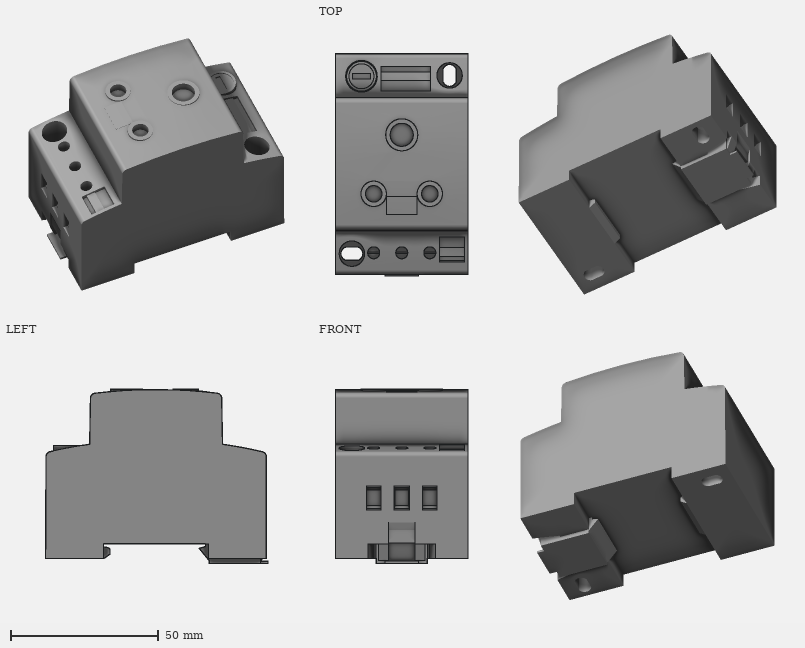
import cadquery as cq
import math


width = 45.0
front_y = -37.45
back_top_y = 37.4
back_foot_y = 37.5
shelf_crown_z = 40.45
shelf_radius = 158.5
shelf_round = 1.8
hump_crown_z = 57.4
hump_radius = 181.15
hump_round = 1.8
hump_foot_y = 22.6
hump_top_y = 22.3

rail_half = 17.8
rail_depth = 5.05

ring_top_z = 57.5
ring_bore_depth = 3
big_ring = (0, 10.0, 5.4, 3.9)
small_ring_x = 9.5
small_ring_y = -10.05
small_ring_radius = 4.3
small_bore_radius = 2.8
label_width = 10.4
label_y = (-17.05, -10.9)
label_height = 0.11

terminal_pitch = 9.5
screw_y = -30.05
screw_radius = 2.05
screw_z = 31.7
screw_slot_width = 0.6
screw_slot_depth = 0.75
window_z = (16.6, 24.6)
window_width = 4.8
middle_window_width = 5.2
middle_throat_end_width = 4.6
window_depth = 1.65
throat_end_depth = 3.3
throat_mouth_z = (17.0, 24.2)
throat_end_z = (18.05, 23.3)

bore_radius = 4.3
bore_floor_z = 7.55
long_hole_length = 7.4
long_hole_width = 4.45
long_hole_bulge = 1.6
front_hole = (-16.9, -30.35)
back_hole = (16.2, 30.1)

pocket_floor = [(24.75, 37.2), (28.3, 36.7), (28.3, 37.05), (31.3, 36.6), (31.3, 35.7), (32.6, 35.55)]
front_pocket_x = (12.8, 21.35)
front_pocket_end = 33.2
front_pocket_end_z = 35.2
back_pocket_x = (-7.1, 9.7)
back_pocket_end = 33.05

knob_x = -13.65
knob_y = 29.8
knob_radius = 5.05
knob_top_z = 38.4
knob_gap = 0.3
knob_gap_floor_z = 35.5
dish_radius = 4.2
dish_depth = 0.4
knob_slot_length = 6.2
knob_slot_width = 1.8
knob_slot_depth = 0.75

opening_half_front = 11.4
opening_half_back = 9.35
opening_back_y = -28.3
clip_half = 8.7
clip_bottom_z = -1.65
clip_front_y = -35.5
clip_top_inner_y = -16.75
clip_nose = [(clip_top_inner_y, 4.15), (-14.6, 3.55), (-18.0, -0.6)]
ramp_half = 7.9
ramp_slope = 0.27
ramp_top_y = -37.3
ramp_foot_z = -0.7
tab_half = 5.7
tab_top_z = -0.8
tab_end_y = -38.0
tool_slot_half = 4.45
tool_slot_top_z = 12.2
tool_slot_wall_z = (5.3, 9.6)
tool_ramp_top_y = -34.7
hook_profile = [(rail_half, 4.1), (16.2, 3.8), (15.6, 3.25), (15.6, 1.5), (rail_half, 0)]

overshoot = 3.8
embed = 0.75
pick_margin = 0.1


def crown_height(y, crown_z, radius):
    """Height of a crowned surface that peaks at y = 0."""
    return crown_z - radius + math.sqrt(radius ** 2 - y ** 2)


def shelf_z(y):
    return crown_height(y, shelf_crown_z, shelf_radius)


def hump_z(y):
    return crown_height(y, hump_crown_z, hump_radius)


def extrude_x(points, x_min, x_max):
    """Solid with the given (y, z) outline between two X positions."""
    return cq.Workplane("YZ").workplane(offset=x_min).polyline(points).close().extrude(x_max - x_min)


def box(x_range, y_range, z_range):
    sizes = [high - low for low, high in (x_range, y_range, z_range)]
    return cq.Workplane("XY").box(*sizes, centered=False).translate((x_range[0], y_range[0], z_range[0]))


def disc(x, y, radius, z_min, z_max):
    return cq.Workplane("XY").workplane(offset=z_min).center(x, y).circle(radius).extrude(z_max - z_min)


def round_edges(solid, corners, radius):
    """Round the edges along X that pass through the given (y, z) corners."""
    for y, z in corners:
        low = (-width, y - pick_margin, z - pick_margin)
        high = (width, y + pick_margin, z + pick_margin)
        selector = cq.selectors.BoxSelector(low, high)
        solid = solid.edges("|X").edges(selector).fillet(radius)
    return solid


def make_housing():
    shelf_mid_y = (hump_foot_y + back_top_y) / 2
    front_corner = (front_y, shelf_z(front_y))
    back_corner = (back_top_y, shelf_z(back_top_y))
    hump_front = (-hump_top_y, hump_z(hump_top_y))
    hump_back = (hump_top_y, hump_z(hump_top_y))
    profile = (
        cq.Workplane("YZ").workplane(offset=-width / 2)
        .moveTo(front_y, 0)
        .lineTo(*front_corner)
        .threePointArc((-shelf_mid_y, shelf_z(shelf_mid_y)), (-hump_foot_y, shelf_z(hump_foot_y)))
        .lineTo(*hump_front)
        .threePointArc((0, hump_crown_z), hump_back)
        .lineTo(hump_foot_y, shelf_z(hump_foot_y))
        .threePointArc((shelf_mid_y, shelf_z(shelf_mid_y)), back_corner)
        .lineTo(back_foot_y, 0)
        .lineTo(rail_half, 0)
        .lineTo(rail_half, rail_depth)
        .lineTo(-rail_half, rail_depth)
        .lineTo(-rail_half, 0)
        .close()
    )
    housing = profile.extrude(width)
    housing = round_edges(housing, [front_corner, back_corner], shelf_round)
    return round_edges(housing, [hump_front, hump_back], hump_round)


def add_label(body):
    """Thin raised plate that follows the crowned top of the hump."""
    y_min, y_max = label_y
    y_mid = (y_min + y_max) / 2
    below_surface = hump_z(y_min) - embed
    plate = (
        cq.Workplane("YZ").workplane(offset=-label_width / 2)
        .moveTo(y_min, below_surface)
        .lineTo(y_min, hump_z(y_min) + label_height)
        .threePointArc((y_mid, hump_z(y_mid) + label_height), (y_max, hump_z(y_max) + label_height))
        .lineTo(y_max, below_surface)
        .close()
        .extrude(label_width)
    )
    return body.union(plate)


def add_rings(body):
    small = [(side * small_ring_x, small_ring_y, small_ring_radius, small_bore_radius) for side in (-1, 1)]
    floor_z = ring_top_z - ring_bore_depth
    for x, y, outer, bore in [big_ring] + small:
        body = body.union(disc(x, y, outer, floor_z, ring_top_z))
        body = body.cut(disc(x, y, bore, floor_z, ring_top_z + overshoot))
    return body


def cut_screw_hole(body, x):
    body = body.cut(disc(x, screw_y, screw_radius, screw_z, shelf_crown_z))
    slot_z = (screw_z - screw_slot_depth, screw_z)
    slot_y = (screw_y - screw_slot_width / 2, screw_y + screw_slot_width / 2)
    slot = box((x - screw_radius, x + screw_radius), slot_y, slot_z)
    return body.cut(slot.intersect(disc(x, screw_y, screw_radius, *slot_z)))


def cut_terminal_window(body, x, mouth_width, throat_end_width):
    """Straight mouth followed by a throat that closes in towards its end wall."""
    ledge_y = front_y + window_depth
    mouth = box((x - mouth_width / 2, x + mouth_width / 2), (front_y - overshoot, ledge_y), window_z)
    end_bottom, end_top = throat_end_z
    mouth_bottom, mouth_top = throat_mouth_z
    end_center_z = (end_bottom + end_top) / 2
    mouth_center_z = (mouth_bottom + mouth_top) / 2
    throat = (
        cq.Workplane("XZ", origin=(x, front_y + throat_end_depth, end_center_z))
        .rect(throat_end_width, end_top - end_bottom)
        .workplane(offset=throat_end_depth - window_depth)
        .center(0, mouth_center_z - end_center_z)
        .rect(mouth_width, mouth_top - mouth_bottom)
        .loft(ruled=True)
    )
    return body.cut(mouth).cut(throat)


def cut_mounting_hole(body, position, turn):
    """Counterbore with an elongated hole below it, turned by an angle in degrees."""
    half_straight = long_hole_length / 2 - long_hole_bulge
    half_width = long_hole_width / 2
    long_hole = (
        cq.Workplane("XY")
        .moveTo(-half_straight, -half_width)
        .lineTo(half_straight, -half_width)
        .threePointArc((long_hole_length / 2, 0), (half_straight, half_width))
        .lineTo(-half_straight, half_width)
        .threePointArc((-long_hole_length / 2, 0), (-half_straight, -half_width))
        .close()
        .extrude(bore_floor_z)
        .rotate((0, 0, 0), (0, 0, 1), turn)
        .translate((*position, 0))
    )
    return body.cut(disc(*position, bore_radius, bore_floor_z, shelf_crown_z)).cut(long_hole)


def cut_shelf_pockets(body):
    """Stepped pocket in each shelf; the front one has one more step at its outer end."""
    back_floor_z = pocket_floor[-2][1]
    start = (pocket_floor[0][0], shelf_crown_z)
    last_y, last_z = pocket_floor[-1]
    front_end = [
        (last_y, front_pocket_end_z),
        (front_pocket_end, front_pocket_end_z),
        (front_pocket_end, shelf_crown_z),
    ]
    front_outline = [(-y, z) for y, z in [start] + pocket_floor + front_end]
    back_end = [(back_pocket_end, back_floor_z), (back_pocket_end, shelf_crown_z)]
    back_outline = [start] + pocket_floor[:-1] + back_end
    return body.cut(extrude_x(front_outline, *front_pocket_x)).cut(extrude_x(back_outline, *back_pocket_x))


def add_knob(body):
    """Slotted knob with a dished top, standing in a slightly larger round hole."""
    dish_z = knob_top_z - dish_depth
    body = body.cut(disc(knob_x, knob_y, knob_radius + knob_gap, knob_gap_floor_z, shelf_crown_z))
    body = body.union(disc(knob_x, knob_y, knob_radius, knob_gap_floor_z - embed, knob_top_z))
    body = body.cut(disc(knob_x, knob_y, dish_radius, dish_z, knob_top_z))
    slot = box(
        (knob_x - knob_slot_length / 2, knob_x + knob_slot_length / 2),
        (knob_y - knob_slot_width / 2, knob_y + knob_slot_width / 2),
        (dish_z - knob_slot_depth, dish_z),
    )
    return body.cut(slot)


def cut_clip_opening(body):
    """Splayed opening in the front foot where the rail clip sits."""
    opening = (
        cq.Workplane("XY")
        .polyline([
            (-opening_half_front, front_y),
            (opening_half_front, front_y),
            (opening_half_back, opening_back_y),
            (-opening_half_back, opening_back_y),
        ])
        .close()
        .extrude(rail_depth)
    )
    return body.cut(opening)


def add_clip(body):
    """Rail clip with a sloping face, a tool slot cut up into the front wall, and a pull tab."""
    frame_outline = [
        (clip_front_y, clip_bottom_z),
        (clip_front_y, rail_depth),
        (clip_top_inner_y, rail_depth),
        *clip_nose,
        (clip_nose[-1][0], clip_bottom_z),
    ]
    ramp_foot_y = ramp_top_y + ramp_slope * (rail_depth - ramp_foot_z)
    ramp_outline = [
        (clip_front_y, rail_depth),
        (ramp_top_y, rail_depth),
        (ramp_foot_y, ramp_foot_z),
        (clip_front_y, ramp_foot_z),
    ]
    body = body.union(extrude_x(frame_outline, -clip_half, clip_half))
    body = body.union(extrude_x(ramp_outline, -ramp_half, ramp_half))
    wall_bottom_z, wall_top_z = tool_slot_wall_z
    tool_slot_wall_y = front_y + ramp_slope * (tool_slot_top_z - wall_top_z)
    tool_ramp_foot_y = tool_ramp_top_y + ramp_slope * (wall_bottom_z - tab_top_z)
    tool_slot_outline = [
        (front_y, tool_slot_top_z),
        (tool_slot_wall_y, wall_top_z),
        (tool_slot_wall_y, wall_bottom_z),
        (tool_ramp_top_y, wall_bottom_z),
        (tool_ramp_foot_y, tab_top_z),
        (front_y, tab_top_z),
    ]
    body = body.cut(extrude_x(tool_slot_outline, -tool_slot_half, tool_slot_half))
    tab = box((-tab_half, tab_half), (tab_end_y, clip_front_y), (clip_bottom_z, tab_top_z))
    return body.union(tab)


def add_rail_hook(body):
    return body.union(extrude_x(hook_profile, -clip_half, clip_half))


result = make_housing()
result = add_label(result)
result = add_rings(result)
for terminal in (-1, 0, 1):
    terminal_x = terminal * terminal_pitch
    result = cut_screw_hole(result, terminal_x)
    if terminal == 0:
        result = cut_terminal_window(result, terminal_x, middle_window_width, middle_throat_end_width)
    else:
        result = cut_terminal_window(result, terminal_x, window_width, window_width)
result = cut_mounting_hole(result, front_hole, 0)
result = cut_mounting_hole(result, back_hole, 90)
result = cut_shelf_pockets(result)
result = add_knob(result)
result = cut_clip_opening(result)
result = add_clip(result)
result = add_rail_hook(result)